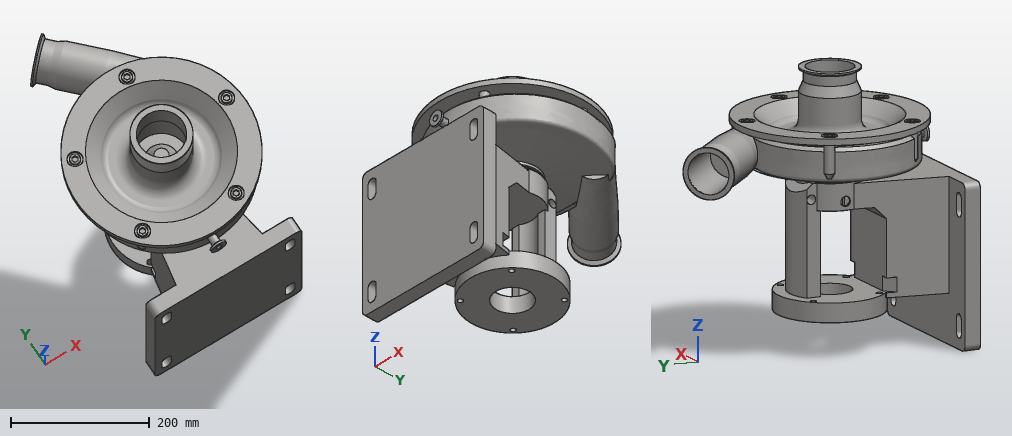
import cadquery as cq
import math


plate_size = 250.0
plate_thickness = 25.0
plate_back_y = -180.0
plate_front_y = plate_back_y + plate_thickness
plate_corner_radius = 10.0
slot_width = 16.0
slot_length = 36.0
slot_inset_x = 20.0
slot_inset_z = 35.0

hub_radius = 51.0
hub_top_z = 3.0
hub_bottom_z = -38.0
arm_half_width_at_plate = 73.5
arm_half_width_at_axis = 46.5
gusset_front_y = -62.5
gusset_bottom_z = -173.5
gusset_chamfer = 18.0
gusset_notch = 15.5
gusset_notch_top_z = -144.0
hub_hole_radius = 7.5
hub_hole_z = -24.5
hub_hole_depth = 10.0

ring_radius = 83.0
ring_bore_radius = 33.0
ring_top_z = -166.0
ring_thickness = 29.5
ring_bolt_circle_radius = 75.0
ring_bolt_hole_radius = 4.5
leg_half_width = 34.0
leg_inner_y = 32.0
leg_outer_radius = 64.0
leg_inner_radius = 37.7
leg_chamfer_depth = 19.0
leg_chamfer_height = 16.0
leg_hole_radius = 7.0
leg_hole_y = 47.0
leg_hole_z = -20.5

casing_top_z = 74.5
casing_rim_z = 23.0
casing_bevel = 5.5
casing_bottom_fillet = 5.5
volute_start_angle = 90.0
volute_end_angle = 405.0
volute_start_radius = 118.0
volute_end_radius = 147.5
volute_spans = 12
neck_radius = 47.0
neck_top_z = 16.0
neck_bead_width = 3.0
neck_bead_top_z = 11.0
neck_bead_bottom_z = 8.0
rear_cone_radius = 120.0
spigot_radius = 112.0
spigot_top_z = 80.5
gasket_radius = 105.0

disk_radius = 145.0
disk_bottom_z = 84.0
disk_top_z = 93.5
bowl_chamfer = 1.5
bowl_rim_radius = 108.0
bowl_slope_radius = 87.0
bowl_slope_z = 74.0
bowl_flat_outer_radius = 76.5
bowl_flat_inner_radius = 65.0
bowl_flat_z = 67.0
nozzle_radius = 45.5
nozzle_flare_z = bowl_flat_z + bowl_flat_inner_radius - nozzle_radius
nozzle_cone_bottom_z = 128.5
nozzle_cone_top_z = 144.5
nozzle_tube_radius = 38.5
nozzle_top_z = 165.0
ferrule_rim = 2.5
ferrule_taper = 3.5
suction_bore_radius = 36.0
suction_bore_flare_z = 122.0
suction_chamber_radius = 42.0
suction_chamber_top_z = 115.0
suction_floor_z = 55.0
nut_radius = 25.5
nut_flat_radius = 11.0
nut_height = 22.0

screw_count = 5
screw_first_angle = 9.0
screw_circle_radius = 125.0
screw_stud_radius = 8.0
screw_tip_radius = 3.5
screw_tip_z = 30.0
screw_cone_z = 38.0
screw_recess_radius = 11.5
screw_recess_depth = 4.0
screw_head_radius = 8.0
screw_socket_width = 10.0

outlet_angle = 135.0
outlet_offset = 114.7
outlet_z = 46.4
outlet_end = 210.0
outlet_pipe_start = 107.0
outlet_pipe_radius = 35.75
outlet_pipe_end = 174.0
outlet_step_position = 180.5
outlet_step_radius = 34.0
outlet_tube_start = 186.0
outlet_tube_radius = 32.6
outlet_flange_radius = 38.75
outlet_bore_radius = 31.0
outlet_root_radius = 29.0
outlet_root_offset = 118.0
outlet_root_z = 44.0

drain_z = 49.0
drain_end_y = -154.5
drain_root_y = -115.0
drain_radius = 7.0
drain_flange_radius = 12.7
drain_flange_rim = 3.5
drain_flange_taper = 2.5
drain_bore_radius = 5.0


def cylinder(radius, bottom_z, top_z, x=0.0, y=0.0):
    return cq.Workplane("XY", origin=(x, y, bottom_z)).circle(radius).extrude(top_z - bottom_z)


def revolved(points):
    """Revolve an (r, z) outline about the pump axis."""
    return cq.Workplane("XZ").polyline(points).close().revolve(360, (0, 0), (0, 1))


def x_hole(radius, y, z, start_x, length):
    return cq.Workplane("YZ", origin=(start_x, y, z)).circle(radius).extrude(length)


def mounting_plate():
    plate = (
        cq.Workplane("XZ", origin=(0, plate_front_y, -plate_size / 2))
        .rect(plate_size, plate_size)
        .extrude(plate_thickness)
        .edges("|Y")
        .fillet(plate_corner_radius)
    )
    slots = (
        cq.Workplane("XZ", origin=(0, plate_front_y, -plate_size / 2))
        .rect(plate_size - 2 * slot_inset_x, plate_size - 2 * slot_inset_z, forConstruction=True)
        .vertices()
        .slot2D(slot_length, slot_width, 90)
        .extrude(plate_thickness)
    )
    return plate.cut(slots)


def gusset():
    """Solid web: the side outline trimmed to a plan that narrows toward the hub."""
    side = (
        cq.Workplane("YZ")
        .polyline([
            (plate_front_y, 0),
            (0, 0),
            (0, hub_bottom_z),
            (gusset_front_y + gusset_chamfer, hub_bottom_z),
            (gusset_front_y, hub_bottom_z - gusset_chamfer),
            (gusset_front_y, gusset_bottom_z),
            (plate_front_y, gusset_bottom_z),
        ])
        .close()
        .extrude(arm_half_width_at_plate, both=True)
    )
    plan = (
        cq.Workplane("XY", origin=(0, 0, gusset_bottom_z))
        .polyline([
            (-arm_half_width_at_plate, plate_front_y),
            (arm_half_width_at_plate, plate_front_y),
            (arm_half_width_at_axis, 0),
            (-arm_half_width_at_axis, 0),
        ])
        .close()
        .extrude(-gusset_bottom_z)
    )
    web = side.intersect(plan)
    side_slope = (arm_half_width_at_plate - arm_half_width_at_axis) / -plate_front_y
    notch_back_y = gusset_front_y - gusset_notch
    notch_outer_x = arm_half_width_at_axis - side_slope * notch_back_y
    for side_sign in (-1, 1):
        notch = (
            cq.Workplane("XY", origin=(0, 0, ring_top_z))
            .polyline([
                (side_sign * notch_outer_x, notch_back_y),
                (side_sign * (notch_outer_x - gusset_notch), gusset_front_y),
                (side_sign * notch_outer_x, gusset_front_y),
            ])
            .close()
            .extrude(gusset_notch_top_z - ring_top_z)
        )
        web = web.cut(notch)
    return web


def hub():
    body = cylinder(hub_radius, hub_bottom_z, hub_top_z)
    return body.cut(x_hole(hub_hole_radius, 0, hub_hole_z, -hub_radius, hub_hole_depth))


def rear_leg():
    height = hub_top_z - ring_top_z
    leg = (
        cq.Workplane("XY", origin=(0, 0, ring_top_z))
        .rect(2 * leg_half_width, 2 * leg_outer_radius)
        .extrude(height)
    )
    front_half = (
        cq.Workplane("XY", origin=(0, leg_inner_y - leg_outer_radius, ring_top_z))
        .rect(2 * leg_half_width, 2 * leg_outer_radius)
        .extrude(height)
    )
    leg = leg.intersect(cylinder(leg_outer_radius, ring_top_z, hub_top_z))
    leg = leg.cut(front_half).cut(cylinder(leg_inner_radius, ring_top_z, hub_bottom_z))
    corner = (
        cq.Workplane("YZ")
        .polyline([
            (leg_outer_radius - leg_chamfer_depth, hub_top_z),
            (leg_outer_radius, hub_top_z),
            (leg_outer_radius, hub_top_z - leg_chamfer_height),
        ])
        .close()
        .extrude(leg_half_width, both=True)
    )
    return leg.cut(corner)


def leg_hole():
    return x_hole(leg_hole_radius, leg_hole_y, leg_hole_z, -leg_half_width, 2 * leg_half_width)


def motor_ring():
    ring_bottom_z = ring_top_z - ring_thickness
    ring = cylinder(ring_radius, ring_bottom_z, ring_top_z)
    ring = ring.cut(cylinder(ring_bore_radius, ring_bottom_z, ring_top_z))
    bolt_holes = (
        cq.Workplane("XY", origin=(0, 0, ring_bottom_z))
        .polarArray(ring_bolt_circle_radius, 45, 360, 4)
        .circle(ring_bolt_hole_radius)
        .extrude(ring_thickness)
    )
    return ring.cut(bolt_holes)


def volute_point(fraction):
    """Point on the spiral, whose radius grows evenly with angle."""
    angle = math.radians(volute_start_angle + fraction * (volute_end_angle - volute_start_angle))
    radius = volute_start_radius + fraction * (volute_end_radius - volute_start_radius)
    return (radius * math.cos(angle), radius * math.sin(angle))


def casing():
    body = (
        cq.Workplane("XY", origin=(0, 0, casing_rim_z))
        .spline([volute_point(i / volute_spans) for i in range(volute_spans + 1)], periodic=True)
        .close()
        .extrude(casing_top_z - casing_rim_z)
    )
    body = body.faces(">Z").edges().chamfer(casing_bevel)
    body = body.faces("<Z").edges().fillet(casing_bottom_fillet)
    rear = revolved([
        (0, hub_top_z),
        (neck_radius, hub_top_z),
        (neck_radius, neck_bead_bottom_z),
        (neck_radius - neck_bead_width, neck_bead_bottom_z),
        (neck_radius - neck_bead_width, neck_bead_top_z),
        (neck_radius, neck_bead_top_z),
        (neck_radius, neck_top_z),
        (rear_cone_radius, casing_rim_z),
        (0, casing_rim_z),
    ])
    spigot = cylinder(spigot_radius, casing_top_z, spigot_top_z)
    gasket = cylinder(gasket_radius, spigot_top_z, disk_bottom_z)
    return body.union(rear).union(spigot).union(gasket)


def cover_disk():
    return cylinder(disk_radius, disk_bottom_z, disk_top_z)


def bowl_cavity():
    """Ring-shaped hollow around the suction nozzle, closed off above the nozzle flare."""
    flare_drop = (bowl_flat_inner_radius - nozzle_radius) * math.sqrt(0.5)
    outer_mid_radius = (bowl_flat_outer_radius + bowl_slope_radius) / 2 + 1.0
    outer_mid_z = bowl_flat_z + 2.3
    return (
        cq.Workplane("XZ")
        .moveTo(nozzle_radius, disk_top_z)
        .lineTo(nozzle_radius, nozzle_flare_z)
        .threePointArc(
            (bowl_flat_inner_radius - flare_drop, nozzle_flare_z - flare_drop),
            (bowl_flat_inner_radius, bowl_flat_z),
        )
        .lineTo(bowl_flat_outer_radius, bowl_flat_z)
        .threePointArc((outer_mid_radius, outer_mid_z), (bowl_slope_radius, bowl_slope_z))
        .lineTo(bowl_rim_radius, disk_top_z - bowl_chamfer)
        .lineTo(bowl_rim_radius + bowl_chamfer, disk_top_z)
        .close()
        .revolve(360, (0, 0), (0, 1))
    )


def suction_nozzle():
    return revolved([
        (0, bowl_flat_z),
        (nozzle_radius, bowl_flat_z),
        (nozzle_radius, nozzle_cone_bottom_z),
        (nozzle_tube_radius, nozzle_cone_top_z),
        (nozzle_tube_radius, nozzle_top_z - ferrule_rim - ferrule_taper),
        (nozzle_radius, nozzle_top_z - ferrule_rim),
        (nozzle_radius, nozzle_top_z),
        (0, nozzle_top_z),
    ])


def suction_bore():
    """Bore that widens below the reducer and leaves the impeller nut standing on its floor."""
    return revolved([
        (0, nozzle_top_z),
        (suction_bore_radius, nozzle_top_z),
        (suction_bore_radius, suction_bore_flare_z),
        (suction_chamber_radius, suction_chamber_top_z),
        (suction_chamber_radius, suction_floor_z),
        (nut_radius, suction_floor_z),
        (nut_flat_radius, suction_floor_z + nut_height),
        (0, suction_floor_z + nut_height),
    ])


def screw_positions():
    angles = [math.radians(screw_first_angle + i * 360 / screw_count) for i in range(screw_count)]
    return [(screw_circle_radius * math.cos(a), screw_circle_radius * math.sin(a)) for a in angles]


def screw_stud(x, y):
    stud = cylinder(screw_stud_radius, screw_cone_z, disk_bottom_z, x, y)
    tip = (
        cq.Workplane("XY", origin=(x, y, screw_cone_z))
        .circle(screw_stud_radius)
        .workplane(offset=screw_tip_z - screw_cone_z)
        .circle(screw_tip_radius)
        .loft()
    )
    return stud.union(tip)


def screw_recess(x, y):
    """Annular gap around the sunk screw head, plus its hexagon socket."""
    recess_z = disk_top_z - screw_recess_depth
    gap = cylinder(screw_recess_radius, recess_z, disk_top_z, x, y)
    gap = gap.cut(cylinder(screw_head_radius, recess_z, disk_top_z, x, y))
    socket = (
        cq.Workplane("XY", origin=(x, y, recess_z))
        .polygon(6, screw_socket_width)
        .extrude(screw_recess_depth)
    )
    return gap.union(socket)


def outlet_plane(position, offset, z):
    """Plane square to the outlet pipe, at a distance along it and a sideways offset from the pump axis."""
    angle = math.radians(outlet_angle)
    along = (math.cos(angle), math.sin(angle), 0)
    sideways = (math.sin(angle), -math.cos(angle), 0)
    origin = (
        position * along[0] + offset * sideways[0],
        position * along[1] + offset * sideways[1],
        z,
    )
    return cq.Plane(origin=origin, xDir=sideways, normal=along)


def outlet_transition():
    """Tapered pipe from the widest part of the volute to the straight outlet."""
    pipe_end = cq.Wire.makeCircle(
        outlet_pipe_radius,
        outlet_plane(outlet_pipe_start, outlet_offset, outlet_z).origin,
        outlet_plane(outlet_pipe_start, outlet_offset, outlet_z).zDir,
    )
    root = cq.Wire.makeCircle(
        outlet_root_radius,
        outlet_plane(0, outlet_root_offset, outlet_root_z).origin,
        outlet_plane(0, outlet_root_offset, outlet_root_z).zDir,
    )
    return cq.Workplane(cq.Solid.makeLoft([root, pipe_end], True))


def outlet_pipe():
    base = outlet_plane(0, outlet_offset, outlet_z)
    profile_plane = cq.Plane(origin=base.origin, xDir=base.xDir, normal=(0, 0, 1))
    return (
        cq.Workplane(profile_plane)
        .polyline([
            (0, outlet_pipe_start),
            (outlet_pipe_radius, outlet_pipe_start),
            (outlet_pipe_radius, outlet_pipe_end),
            (outlet_step_radius, outlet_step_position),
            (outlet_tube_radius, outlet_tube_start),
            (outlet_tube_radius, outlet_end - ferrule_rim - ferrule_taper),
            (outlet_flange_radius, outlet_end - ferrule_rim),
            (outlet_flange_radius, outlet_end),
            (0, outlet_end),
        ])
        .close()
        .revolve(360, (0, 0), (0, 1))
    )


def outlet_bore():
    return (
        cq.Workplane(outlet_plane(outlet_pipe_start, outlet_offset, outlet_z))
        .circle(outlet_bore_radius)
        .extrude(outlet_end - outlet_pipe_start)
    )


def drain():
    rim_y = drain_end_y + drain_flange_rim
    body = (
        cq.Workplane("XY", origin=(0, 0, drain_z))
        .polyline([
            (0, drain_root_y),
            (drain_radius, drain_root_y),
            (drain_radius, rim_y + drain_flange_taper),
            (drain_flange_radius, rim_y),
            (drain_flange_radius, drain_end_y),
            (0, drain_end_y),
        ])
        .close()
        .revolve(360, (0, 0), (0, 1))
    )
    bore = (
        cq.Workplane("XZ", origin=(0, drain_root_y, drain_z))
        .circle(drain_bore_radius)
        .extrude(drain_root_y - drain_end_y)
    )
    return body.cut(bore)


bracket = mounting_plate().union(gusset()).union(hub()).union(rear_leg()).union(motor_ring())
bracket = bracket.cut(leg_hole())

pump = casing().union(cover_disk()).cut(bowl_cavity())
pump = pump.union(suction_nozzle()).cut(suction_bore())
pump = pump.union(outlet_transition()).union(outlet_pipe()).cut(outlet_bore())
pump = pump.union(drain())
for screw_x, screw_y in screw_positions():
    pump = pump.union(screw_stud(screw_x, screw_y))
    pump = pump.cut(screw_recess(screw_x, screw_y))

result = bracket.union(pump)